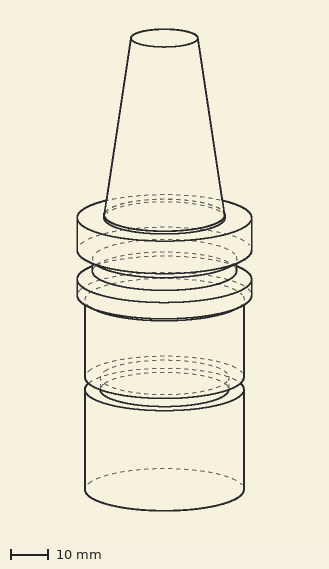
import cadquery as cq

total_length = 123.4
taper_tip_diameter = 17.6
taper_base_diameter = 31.7
collar_diameter = 32.0
flange_diameter = 46.0
flange_groove_diameter = 38.0
barrel_diameter = 42.0
neck_diameter = 33.9

nut_height = 27.4
neck_top = nut_height + 3.3
barrel_top = 52.0
lower_flange_bottom = 53.1
lower_flange_top = 57.5
upper_flange_bottom = 65.4
flange_top = 74.3
collar_top = 75.0

groove_wall_height = 2.2


def make_holder():
    """Tool holder: taper shank, grooved flange, barrel and neck in one turned profile."""
    tip_radius = taper_tip_diameter / 2
    taper_base_radius = taper_base_diameter / 2
    collar_radius = collar_diameter / 2
    flange_radius = flange_diameter / 2
    groove_radius = flange_groove_diameter / 2
    barrel_radius = barrel_diameter / 2
    neck_radius = neck_diameter / 2
    profile = [
        (0, nut_height),
        (neck_radius, nut_height),
        (neck_radius, neck_top),
        (barrel_radius, neck_top),
        (barrel_radius, barrel_top),
        (flange_radius, lower_flange_bottom),
        (flange_radius, lower_flange_top),
        (groove_radius, lower_flange_top + groove_wall_height),
        (groove_radius, upper_flange_bottom - groove_wall_height),
        (flange_radius, upper_flange_bottom),
        (flange_radius, flange_top),
        (collar_radius, flange_top),
        (collar_radius, collar_top),
        (taper_base_radius, collar_top),
        (tip_radius, total_length),
        (0, total_length),
    ]
    return cq.Workplane("XZ").polyline(profile).close().revolve(360, (0, 0, 0), (0, 1, 0))


def make_nut():
    """Plain cylindrical nut below the neck, meeting it face to face."""
    return cq.Workplane("XY").circle(barrel_diameter / 2).extrude(nut_height)


holder = make_holder()
nut = make_nut()

result = cq.Compound.makeCompound([holder.val(), nut.val()])